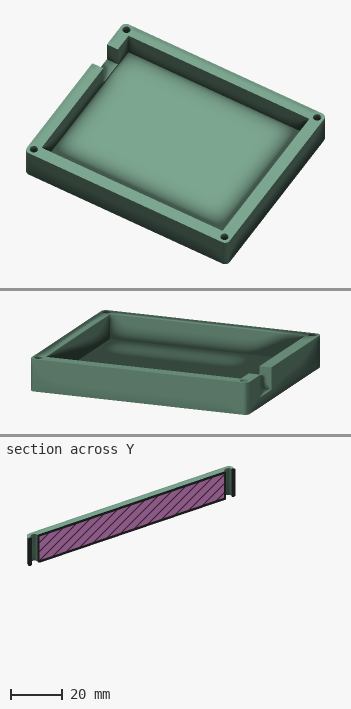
import cadquery as cq

length = 91.5
width = 75.5
height = 13.0
corner_radius = 2.0

wall = 4.9
floor_thickness = 3.0

hole_diameter = 3.2
hole_inset = 2.7

notch_width = 11.0
notch_depth = 9.0
notch_from_back = 13.0


def make_body():
    body = cq.Workplane("XY").box(length, width, height, centered=(True, True, False))
    return body.edges("|Z").fillet(corner_radius)


def make_pocket():
    return (
        cq.Workplane("XY")
        .workplane(offset=floor_thickness)
        .rect(length - 2 * wall, width - 2 * wall)
        .extrude(height - floor_thickness)
    )


def make_corner_holes():
    return (
        cq.Workplane("XY")
        .rect(length - 2 * hole_inset, width - 2 * hole_inset, forConstruction=True)
        .vertices()
        .circle(hole_diameter / 2)
        .extrude(height)
    )


def make_notch():
    notch_center_y = width / 2 - notch_from_back - notch_width / 2
    return (
        cq.Workplane("XY")
        .workplane(offset=height - notch_depth)
        .center((wall - length) / 2, notch_center_y)
        .rect(wall, notch_width)
        .extrude(notch_depth)
    )


result = make_body().cut(make_pocket()).cut(make_corner_holes()).cut(make_notch())